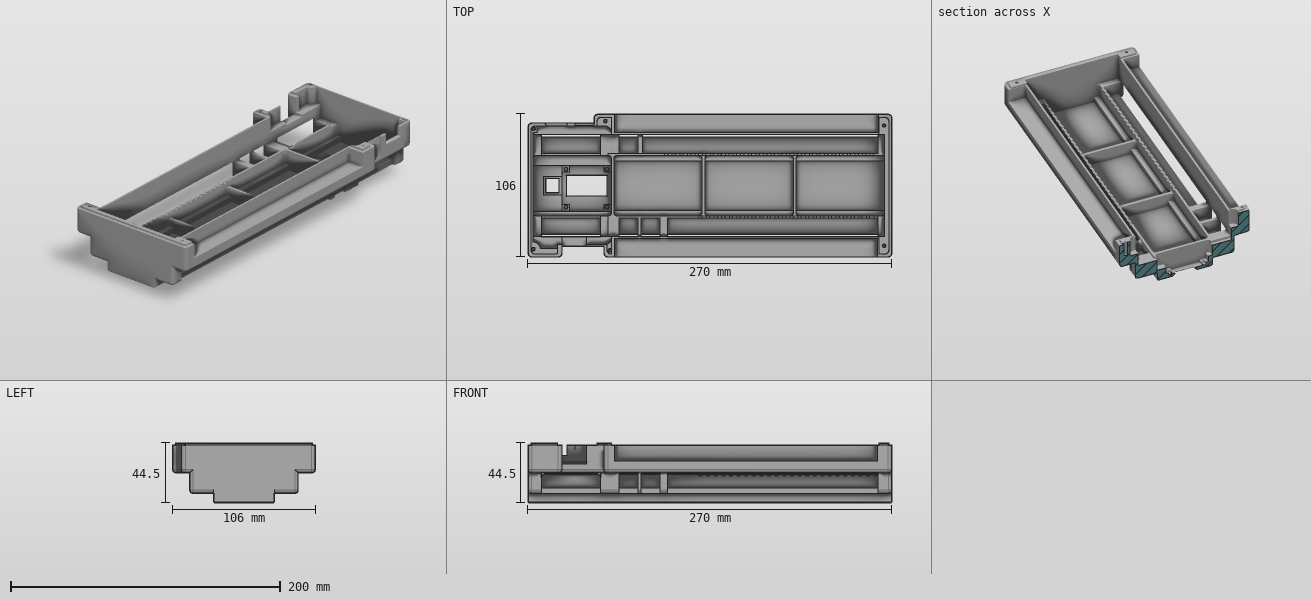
import cadquery as cq
LENGTH = 270.0
WIDTH = 106.0
BASE_WIDTH = 45.0
MIDDLE_WIDTH = 80.5
MIDDLE_BOTTOM = 7.2
UPPER_BOTTOM = 22.5
RIM_TOP = 43.0
LIP_TOP = 44.5
EDGE_RADIUS = 2.5
CORNER_RADIUS = 3.0
BASE_EDGE_CHAMFER = 1.0
LIP_INSET = 2.3
RIGHT_PAD_X = 260.5
ABOVE = LIP_TOP + 1.0

FRONT_Y = -WIDTH / 2
BACK_Y = WIDTH / 2
SHORT_BACK_Y = 46.5
BACK_STEP_X = 49.0
NOTCH_START_X = 25.3
NOTCH_END_X = 56.3
NOTCH_Y = -45.0

CAVITY_START_X = 3.6
CAVITY_END_X = LENGTH - 5.4
CAVITY_HALF = 37.8
CROSS_BAR_TOP = 19.5
POCKET_WALL_TOP = 21.5

SHELF_TOP = 30.7
SHELF_END_X = 61.9
SHELF_RADIUS = 5.0
BACK_SHELF_Y = 44.2
FRONT_SHELF_Y = -43.6
FRONT_BAY_Y = -46.6
FRONT_BAY_END_X = 22.0
CORNER_POST_RADIUS = 5.3
BACK_POST_END_X = 6.6
BACK_POST_Y = 39.6

TRAY_START_X = 64.3
FRONT_TRAY_END_X = 259.2
BACK_TRAY_END_X = 260.2
TRAY_FLOOR = 31.4
TRAY_INNER_Y = CAVITY_HALF + 1.5

CHANNEL_END_X = 43.4
CHANNEL_FLOOR = 28.9
BACK_OPENING_X = (13.2, 28.8)
BACK_OPENING_FLOOR = 35.5
BACK_OPENING_RADIUS = 1.5
TAPER_START_X = 34.9
TAPER_BOTTOM = UPPER_BOTTOM + EDGE_RADIUS
TAPER_TOP_WALL = 0.4

POCKET_HALF = 22.4
POCKET_LEDGE = 10.0
POCKET_FLOOR = 5.4
POCKET_RADIUS = 2.4
DIVIDER_TOP = 16.5
WELL_HALF = 18.3
POCKET_WALL = 1.6
POCKET_SPANS = [(63.7, 129.1), (131.2, 196.9), (198.8, CAVITY_END_X)]
CONTROL_POCKET = (CAVITY_START_X, SHELF_END_X)

WELL_FRONT_Y = -19.0
WELL_BACK_Y = 15.1
WELL_STEP_X = NOTCH_START_X
UPPER_FLOOR = 5.4
DISPLAY_FLOOR = 2.8
DISPLAY_X = (28.6, 58.6)
DISPLAY_HALF = 7.6
DISPLAY_EDGE = 0.4
BUTTON_X = (13.2, 22.9)
BUTTON_HALF = 5.2
BUTTON_RECESS_START_X = 11.4
BUTTON_RECESS_HALF = 6.9
BUTTON_RECESS_FLOOR = 4.0
BOSS_HEIGHT = 2.0
BOSS_LENGTH = 5.4
BOSS_WIDTH = 5.0
BOSS_HOLE_X = (28.1, 58.6)
BOSS_HOLE_Y = (-16.0, 12.2)
BOSS_HOLE_DIAMETER = 2.8

WINDOW_SILL = 11.1
SILL_HALF = 36.2
WINDOW_INNER_Y = POCKET_HALF + POCKET_WALL
BAR_EDGE_X = 59.4
WINDOW_START_X = 9.9
WINDOW_END_X = 259.7
FIRST_WINDOW_END_X = 53.8
BACK_WINDOWS = [(WINDOW_START_X, FIRST_WINDOW_END_X), (67.6, 81.5), (84.8, WINDOW_END_X)]
FRONT_WINDOWS = [(WINDOW_START_X, FIRST_WINDOW_END_X), (67.6, 81.5), (83.9, 98.0), (103.4, WINDOW_END_X)]
WALL_END_RADIUS = 2.5

SCALLOP_DIAMETER = 2.5
SCALLOP_PITCH = 5.65
SCALLOP_Z = 21.3
BACK_SCALLOP_LEAD = 4.5
FRONT_SCALLOP_START_X = 128.0
BACK_SCALLOP_START_X = FRONT_SCALLOP_START_X - BACK_SCALLOP_LEAD * SCALLOP_PITCH

SCREW_DIAMETER = 2.5
SCREW_DEPTH = 12.0
FRONT_LEFT_SCREW = (4.0, -47.1)
SCREWS = [FRONT_LEFT_SCREW, (4.3, 42.1), (57.4, 47.9), (60.7, -48.0), (264.2, 44.6), (264.2, -44.6)]


def block(x0, x1, y0, y1, z0, z1):
    """Axis-aligned box between two opposite corners."""
    size = (x1 - x0, y1 - y0, z1 - z0)
    return cq.Workplane("XY").box(*size, centered=False).translate((x0, y0, z0))


def upper_outline():
    corners = [
        (0, FRONT_Y), (NOTCH_START_X, FRONT_Y), (NOTCH_START_X, NOTCH_Y), (NOTCH_END_X, NOTCH_Y),
        (NOTCH_END_X, FRONT_Y), (LENGTH, FRONT_Y), (LENGTH, BACK_Y), (BACK_STEP_X, BACK_Y),
        (BACK_STEP_X, SHORT_BACK_Y), (0, SHORT_BACK_Y),
    ]
    return cq.Workplane("XY").polyline(corners).close()


def round_outer_corners(solid, inset):
    """Round the vertical outer corners of a solid standing on the upper outline."""
    corners = [
        (inset, FRONT_Y + inset), (NOTCH_START_X - inset, FRONT_Y + inset),
        (NOTCH_END_X + inset, FRONT_Y + inset), (LENGTH - inset, FRONT_Y + inset),
        (LENGTH - inset, BACK_Y - inset), (BACK_STEP_X + inset, BACK_Y - inset),
        (inset, SHORT_BACK_Y - inset),
    ]
    middle_z = solid.val().Center().z
    for x, y in corners:
        corner = cq.selectors.NearestToPointSelector((x, y, middle_z))
        solid = solid.edges("|Z").edges(corner).fillet(CORNER_RADIUS)
    return solid


def upper_tier():
    tier = upper_outline().extrude(RIM_TOP - UPPER_BOTTOM).translate((0, 0, UPPER_BOTTOM))
    tier = round_outer_corners(tier, 0)
    return tier.faces("<Z").edges().fillet(EDGE_RADIUS)


def middle_tier():
    half = MIDDLE_WIDTH / 2
    tier = block(0, LENGTH, -half, half, MIDDLE_BOTTOM, UPPER_BOTTOM + EDGE_RADIUS)
    return tier.edges("|Z").fillet(EDGE_RADIUS).faces("<Z").edges().fillet(EDGE_RADIUS)


def base_tier():
    half = BASE_WIDTH / 2
    tier = block(0, LENGTH, -half, half, 0, MIDDLE_BOTTOM + EDGE_RADIUS)
    return tier.faces("<Z").edges().chamfer(BASE_EDGE_CHAMFER)


def lip():
    """Raised rim that locates the cover at both ends and beside the notch."""
    rim = upper_outline().offset2D(-LIP_INSET).extrude(LIP_TOP - TRAY_FLOOR)
    rim = round_outer_corners(rim, LIP_INSET).translate((0, 0, TRAY_FLOOR))
    keep = None
    for x0, x1 in [(0, FRONT_BAY_END_X), (BACK_STEP_X + LIP_INSET, SHELF_END_X), (RIGHT_PAD_X, LENGTH)]:
        span = block(x0, x1, FRONT_Y, BACK_Y, TRAY_FLOOR, LIP_TOP)
        keep = span if keep is None else keep.union(span)
    return rim.intersect(keep)


def main_cavity():
    return block(CAVITY_START_X, CAVITY_END_X, -CAVITY_HALF, CAVITY_HALF, CROSS_BAR_TOP, ABOVE)


def shelf_spaces():
    """Open space above the shelves on both sides of the control end."""
    back = block(CAVITY_START_X, SHELF_END_X, 0, BACK_SHELF_Y, SHELF_TOP, ABOVE)
    back = back.edges("|Z and >X and >Y").fillet(SHELF_RADIUS)
    back = back.cut(block(0, BACK_POST_END_X, BACK_POST_Y, BACK_Y, SHELF_TOP, ABOVE))
    front = block(CAVITY_START_X, SHELF_END_X, FRONT_SHELF_Y, 0, SHELF_TOP, ABOVE)
    front = front.edges("|Z and >X and <Y").fillet(SHELF_RADIUS)
    front = front.union(block(CAVITY_START_X, FRONT_BAY_END_X, FRONT_BAY_Y, 0, SHELF_TOP, ABOVE))
    post = cq.Workplane("XY").workplane(offset=SHELF_TOP).center(*FRONT_LEFT_SCREW)
    front = front.cut(post.circle(CORNER_POST_RADIUS).extrude(ABOVE - SHELF_TOP))
    return back.union(front)


def trays():
    back = block(TRAY_START_X, BACK_TRAY_END_X, TRAY_INNER_Y, BACK_Y, TRAY_FLOOR, ABOVE)
    front = block(TRAY_START_X, FRONT_TRAY_END_X, FRONT_Y, -TRAY_INNER_Y, TRAY_FLOOR, ABOVE)
    return back.union(front)


def cut_back_opening(tier):
    """Cut the cable opening in the short back wall and round its outer edges."""
    x0, x1 = BACK_OPENING_X
    tier = tier.cut(block(x0, x1, CAVITY_HALF, BACK_Y, BACK_OPENING_FLOOR, ABOVE))
    margin = BACK_OPENING_RADIUS / 2
    outer_edges = cq.selectors.BoxSelector(
        (x0 - margin, SHORT_BACK_Y - margin, BACK_OPENING_FLOOR - margin),
        (x1 + margin, SHORT_BACK_Y + margin, RIM_TOP - margin),
    )
    return tier.edges(outer_edges).fillet(BACK_OPENING_RADIUS)


def cable_channel():
    return block(NOTCH_START_X, CHANNEL_END_X, NOTCH_Y, -CAVITY_HALF, CHANNEL_FLOOR, ABOVE)


def back_wall_taper():
    """Wedge that thins the back wall towards its top, next to the step."""
    wedge = [
        (SHORT_BACK_Y, TAPER_BOTTOM), (BACK_SHELF_Y + TAPER_TOP_WALL, RIM_TOP), (SHORT_BACK_Y, RIM_TOP),
    ]
    taper = cq.Workplane("YZ").polyline(wedge).close().extrude(BACK_STEP_X - TAPER_START_X)
    return taper.translate((TAPER_START_X, 0, 0))


def windows():
    tool = None
    for side, spans in ((1, BACK_WINDOWS), (-1, FRONT_WINDOWS)):
        for x0, x1 in spans:
            upper = block(x0, x1, WINDOW_INNER_Y, BACK_Y, WINDOW_SILL, UPPER_BOTTOM)
            gap = block(x0, x1, SILL_HALF, BACK_Y, MIDDLE_BOTTOM, UPPER_BOTTOM)
            window = upper.union(gap)
            if side < 0:
                window = window.mirror("XZ")
            tool = window if tool is None else tool.union(window)
    return tool


def scallops(y, start_x):
    count = int((WINDOW_END_X - start_x) / SCALLOP_PITCH) + 1
    points = [(start_x + i * SCALLOP_PITCH, SCALLOP_Z) for i in range(count)]
    row = cq.Workplane("XZ").pushPoints(points).circle(SCALLOP_DIAMETER / 2).extrude(POCKET_WALL)
    return row.translate((0, y + POCKET_WALL, 0))


def raised_walls():
    """Walls standing above the cross bars: pocket sides, dividers and front bars."""
    height = (CROSS_BAR_TOP - WALL_END_RADIUS, POCKET_WALL_TOP)
    walls = block(BAR_EDGE_X, CAVITY_END_X, -WINDOW_INNER_Y, WINDOW_INNER_Y, *height)
    first = block(WINDOW_START_X, FIRST_WINDOW_END_X, -WINDOW_INNER_Y, WINDOW_INNER_Y, *height)
    walls = walls.union(first.edges("|Y and >Z").fillet(WALL_END_RADIUS))
    walls = walls.union(block(BAR_EDGE_X, CAVITY_END_X, -CAVITY_HALF, 0, *height))
    walls = walls.union(block(WINDOW_END_X, CAVITY_END_X, 0, CAVITY_HALF, *height))
    walls = walls.cut(scallops(POCKET_HALF, BACK_SCALLOP_START_X))
    return walls.cut(scallops(-WINDOW_INNER_Y, FRONT_SCALLOP_START_X))


def pockets():
    tool = None
    for x0, x1 in [CONTROL_POCKET] + POCKET_SPANS:
        pocket = block(x0, x1, -POCKET_HALF, POCKET_HALF, POCKET_LEDGE, UPPER_BOTTOM)
        pocket = pocket.edges("|Z").fillet(POCKET_RADIUS)
        tool = pocket if tool is None else tool.union(pocket)
    for x0, x1 in POCKET_SPANS:
        tool = tool.union(block(x0, x1, -WELL_HALF, WELL_HALF, POCKET_FLOOR, UPPER_BOTTOM))
    for (_, divider_start), (divider_end, _) in zip(POCKET_SPANS, POCKET_SPANS[1:]):
        x0, x1 = divider_start - POCKET_RADIUS, divider_end + POCKET_RADIUS
        tool = tool.union(block(x0, x1, -POCKET_HALF, POCKET_HALF, DIVIDER_TOP, UPPER_BOTTOM))
    return tool


def display_window():
    """Window that flares outwards at 45 degrees below a short straight edge."""
    x0, x1 = DISPLAY_X
    half = DISPLAY_HALF
    flare = DISPLAY_FLOOR - DISPLAY_EDGE
    straight = block(x0, x1, -half, half, 0, POCKET_LEDGE)
    top_face = cq.Workplane("XY").workplane(offset=flare).center((x0 + x1) / 2, 0)
    flared = top_face.rect(x1 - x0, 2 * half).extrude(-flare, taper=-45)
    return straight.union(flared)


def control_well():
    x0, x1 = CONTROL_POCKET
    well = block(x0, WELL_STEP_X, WELL_FRONT_Y, WELL_BACK_Y, UPPER_FLOOR, POCKET_LEDGE)
    display = block(WELL_STEP_X, x1, WELL_FRONT_Y, WELL_BACK_Y, DISPLAY_FLOOR, POCKET_LEDGE)
    recess_half = BUTTON_RECESS_HALF
    recess = block(BUTTON_RECESS_START_X, WELL_STEP_X, -recess_half, recess_half, BUTTON_RECESS_FLOOR, UPPER_FLOOR)
    well = well.union(display).union(recess)
    well = well.union(display_window())
    return well.union(block(*BUTTON_X, -BUTTON_HALF, BUTTON_HALF, 0, POCKET_LEDGE))


def display_bosses():
    boss_top = DISPLAY_FLOOR + BOSS_HEIGHT
    left, right = WELL_STEP_X, SHELF_END_X
    bosses = None
    for x0 in (left, right - BOSS_LENGTH):
        for y0 in (WELL_FRONT_Y, WELL_BACK_Y - BOSS_WIDTH):
            boss = block(x0, x0 + BOSS_LENGTH, y0, y0 + BOSS_WIDTH, DISPLAY_FLOOR, boss_top)
            bosses = boss if bosses is None else bosses.union(boss)
    points = [(x, y) for x in BOSS_HOLE_X for y in BOSS_HOLE_Y]
    holes = cq.Workplane("XY").workplane(offset=DISPLAY_FLOOR).pushPoints(points)
    return bosses.cut(holes.circle(BOSS_HOLE_DIAMETER / 2).extrude(BOSS_HEIGHT))


def screw_holes():
    start = cq.Workplane("XY").workplane(offset=LIP_TOP).pushPoints(SCREWS)
    return start.circle(SCREW_DIAMETER / 2).extrude(-SCREW_DEPTH)


body = cut_back_opening(upper_tier())
body = body.union(lip()).union(middle_tier()).union(base_tier())
body = body.cut(main_cavity()).cut(shelf_spaces()).cut(trays())
body = body.cut(cable_channel()).cut(back_wall_taper())
body = body.union(raised_walls())
body = body.cut(windows()).cut(pockets()).cut(control_well())
result = body.union(display_bosses()).cut(screw_holes())